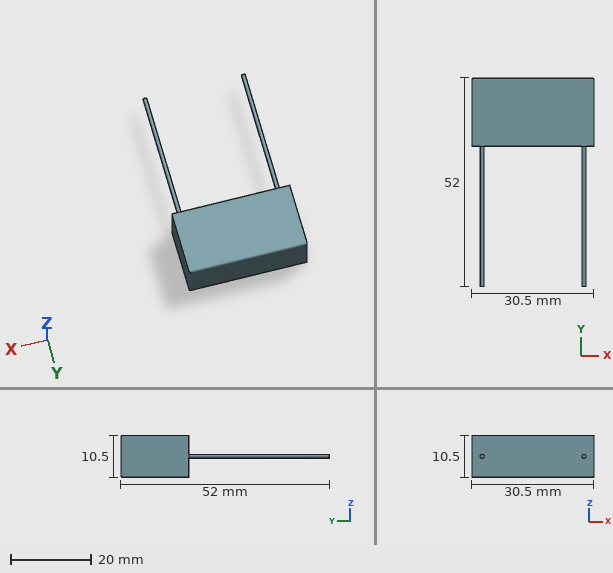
import cadquery as cq

total_length = 52.0
housing_width = 30.5
housing_length = 17.0
housing_height = 10.5
edge_radius = 0.5

lead_pitch = 25.45
lead_diameter = 1.05
lead_length = total_length - housing_length


def make_housing():
    """Rectangular capacitor case with its front face on Y = 0 and its rear edges rounded."""
    block = cq.Workplane("XY").box(
        housing_width, housing_length, housing_height, centered=(True, False, True)
    )
    return block.faces(">Y").edges().fillet(edge_radius)


def make_lead(x):
    """Straight round wire that butts against the housing front face and runs toward -Y."""
    return cq.Workplane("XZ").center(x, 0).circle(lead_diameter / 2).extrude(lead_length)


housing = make_housing()

leads = []
for side in (-1, 1):
    leads.append(make_lead(side * lead_pitch / 2))

result = cq.Compound.makeCompound([housing.val(), *[lead.val() for lead in leads]])